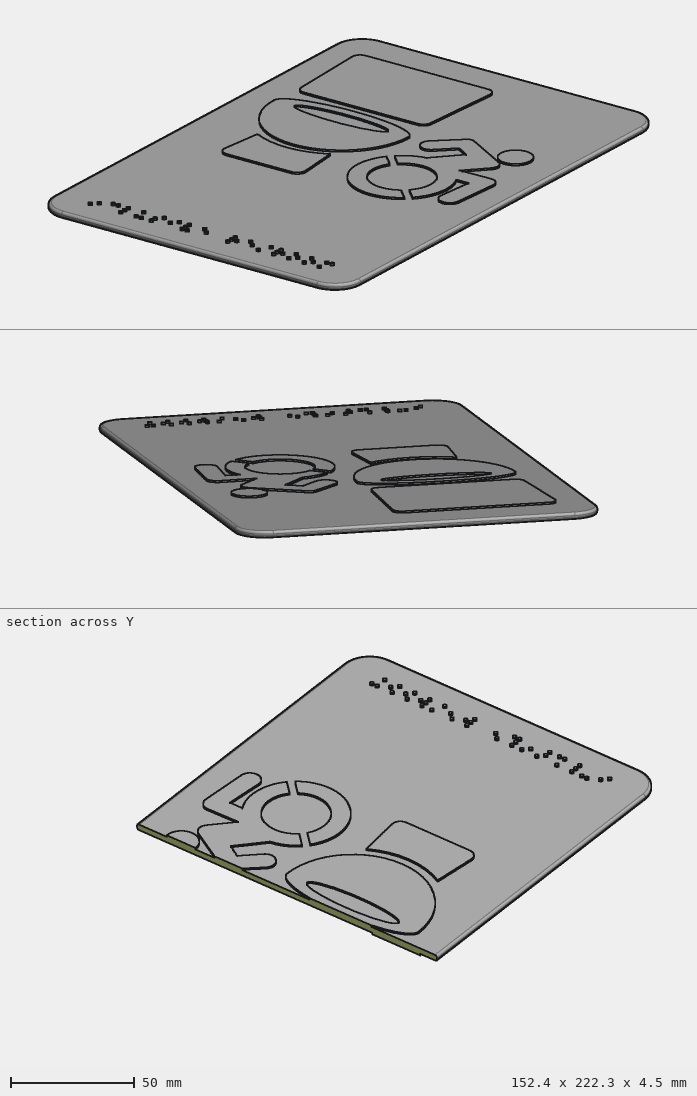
import cadquery as cq
import math

plate_width = 152.4
plate_height = 222.25
plate_thickness = 3.0
plate_corner_radius = 12.7
plate_edge_round = 1.2

relief = 0.75
front_face = plate_thickness / 2
back_face = -plate_thickness / 2

toilet_x = -27.4
tank_top_y = 93.0
tank_bottom_y = 47.0
tank_top_half_width = 34.5
tank_bottom_half_width = 32.0
tank_corner_radius = 3.8
bowl_y = 33.4
bowl_radius = 33.4
bowl_rim_rise = 9.1
seat_half_width = 23.2
seat_half_height = 4.5
pedestal_gap = 4.3
pedestal_top_half_width = 18.0
pedestal_bottom_half_width = 20.6
pedestal_top_y = 1.0
pedestal_bottom_y = -24.0
pedestal_corner_radius = 4.0

wheel_x = 28.2
wheel_y = -2.2
wheel_outer_radius = 22.2
wheel_inner_radius = 14.2
wheel_gap = 3.3
wheel_gap_angle = -45.0
wheel_gap_offset = 1.0
head_x = 53.6
head_y = 41.3
head_radius = 7.3
hand_radius = 4.5
elbow_radius = 3.0
shoulder_radius = 4.2
knee_radius = 4.5
foot_radius = 4.5

person_corners = [
    (35.8, 31.8, 0),
    (29.5, 35.7, 0),
    (18.4, 25.1, hand_radius),
    (12.0, 31.9, hand_radius),
    (28.2, 46.4, elbow_radius),
    (55.9, 30.1, shoulder_radius),
    (43.3, 16.6, 0),
    (63.6, 17.0, knee_radius),
    (61.6, -14.2, foot_radius),
    (52.2, -14.2, foot_radius),
    (54.1, 8.0, 0),
    (wheel_x, 8.0, 0),
    (24.9, 19.8, 0),
]

braille_cells = [
    (3, 5), (1, 4), (1, 2, 3), (1, 3, 6), (2, 3, 4), (2, 4), (1, 2, 3, 6), (1, 5),
    (),
    (1, 2, 3, 5), (1, 5), (3, 4), (1, 2, 3, 5), (1, 3, 5), (1, 3, 5), (1, 3, 4),
]
braille_left_x = -58.4
braille_top_y = -92.9
braille_cell_pitch = 7.6
braille_dot_pitch = 2.6
braille_dot_radius = 0.8
braille_rows = 3

back_pads = [
    (-67.5, -43.2, -26.5, 42.8),
    (-41.8, 66.2, 47.0, 94.8),
]


def rounded_outline(corners):
    """Closed outline through the corners, each rounded by its own radius."""
    outline = None
    count = len(corners)
    for i, (x, y, radius) in enumerate(corners):
        corner = cq.Vector(x, y)
        to_previous = (cq.Vector(*corners[i - 1][:2]) - corner).normalized()
        to_next = (cq.Vector(*corners[(i + 1) % count][:2]) - corner).normalized()
        half_angle = to_previous.getAngle(to_next) / 2
        setback = radius / math.tan(half_angle)
        centre = corner + (to_previous + to_next).normalized() * (radius / math.sin(half_angle))
        start = corner + to_previous * setback
        middle = centre + (corner - centre).normalized() * radius if radius else corner
        end = corner + to_next * setback
        if outline is None:
            outline = cq.Workplane("XY").workplane(offset=front_face).moveTo(start.x, start.y)
        else:
            outline = outline.lineTo(start.x, start.y)
        if radius:
            outline = outline.threePointArc((middle.x, middle.y), (end.x, end.y))
    return outline.close()


def front_plane(x=0.0, y=0.0):
    return cq.Workplane("XY", origin=(x, y, front_face))


def make_plate():
    plate = cq.Workplane("XY").box(plate_width, plate_height, plate_thickness)
    plate = plate.edges("|Z").fillet(plate_corner_radius)
    return plate.faces("<Z or >Z").edges().fillet(plate_edge_round)


def make_tank():
    return rounded_outline([
        (toilet_x - tank_top_half_width, tank_top_y, tank_corner_radius),
        (toilet_x + tank_top_half_width, tank_top_y, tank_corner_radius),
        (toilet_x + tank_bottom_half_width, tank_bottom_y, tank_corner_radius),
        (toilet_x - tank_bottom_half_width, tank_bottom_y, tank_corner_radius),
    ]).extrude(relief)


def make_bowl():
    rim = front_plane(toilet_x, bowl_y).ellipse(bowl_radius, bowl_rim_rise).extrude(relief)
    basin = (
        front_plane(toilet_x, bowl_y)
        .moveTo(-bowl_radius, 0)
        .threePointArc((0, -bowl_radius), (bowl_radius, 0))
        .close()
        .extrude(relief)
    )
    seat = front_plane(toilet_x, bowl_y).ellipse(seat_half_width, seat_half_height).extrude(relief)
    return rim.union(basin).cut(seat)


def make_pedestal():
    pedestal = rounded_outline([
        (toilet_x - pedestal_top_half_width, pedestal_top_y, 0),
        (toilet_x + pedestal_top_half_width, pedestal_top_y, 0),
        (toilet_x + pedestal_bottom_half_width, pedestal_bottom_y, pedestal_corner_radius),
        (toilet_x - pedestal_bottom_half_width, pedestal_bottom_y, pedestal_corner_radius),
    ]).extrude(relief)
    clearance = front_plane(toilet_x, bowl_y).circle(bowl_radius + pedestal_gap).extrude(relief)
    return pedestal.cut(clearance)


def make_wheelchair_user():
    wheel = front_plane(wheel_x, wheel_y).circle(wheel_outer_radius).extrude(relief)
    hub = front_plane(wheel_x, wheel_y).circle(wheel_inner_radius).extrude(relief)
    gap = (
        front_plane(wheel_x, wheel_y)
        .transformed(rotate=(0, 0, wheel_gap_angle))
        .center(0, -wheel_gap_offset)
        .rect(2 * wheel_outer_radius + wheel_gap, wheel_gap)
        .extrude(relief)
    )
    person = rounded_outline(person_corners).extrude(relief)
    head = front_plane(head_x, head_y).circle(head_radius).extrude(relief)
    return person.union(wheel).cut(hub).cut(gap).union(head)


def make_braille():
    spots = []
    for cell_index, dots in enumerate(braille_cells):
        for dot in dots:
            column, row = divmod(dot - 1, braille_rows)
            x = braille_left_x + cell_index * braille_cell_pitch + column * braille_dot_pitch
            y = braille_top_y - row * braille_dot_pitch
            spots.append((x, y))
    return front_plane().pushPoints(spots).circle(braille_dot_radius).extrude(relief)


def make_back_pad(left, right, bottom, top):
    return (
        cq.Workplane("XY", origin=((left + right) / 2, (bottom + top) / 2, back_face))
        .rect(right - left, top - bottom)
        .extrude(-relief)
    )


result = make_plate()
for raised in (make_tank(), make_bowl(), make_pedestal(), make_wheelchair_user(), make_braille()):
    result = result.union(raised)
for pad_bounds in back_pads:
    result = result.union(make_back_pad(*pad_bounds))